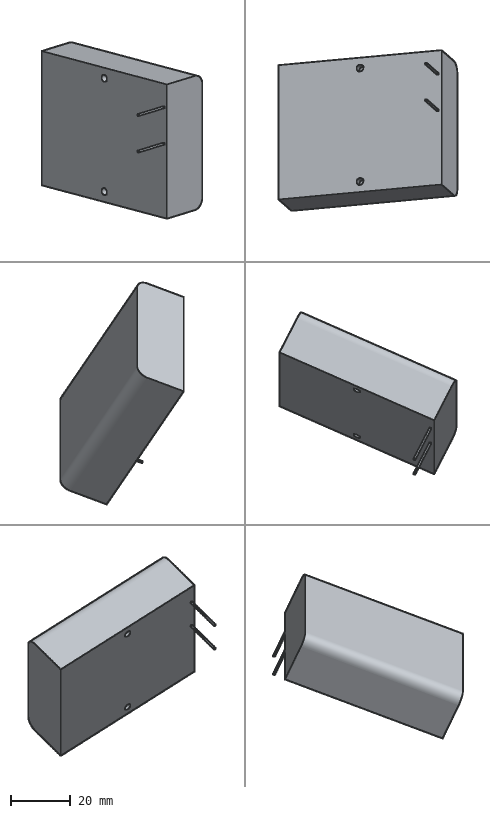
import cadquery as cq

length = 57.15
height = 46.75
depth = 17.4
edge_radius = 3.7

hole_diameter = 2.4
hole_depth = 3.0
hole_spacing = 39.45

pin_diameter = 0.75
pin_length = 12.6
pin_x = length / 2 - 1.4
upper_pin_z = height / 2 - 8.2
pin_spacing = 12.7


def make_block():
    """Block with its two long rear edges rounded."""
    block = cq.Workplane("XY").box(length, depth, height).translate((0, depth / 2, 0))
    return block.edges("|X and >Y").fillet(edge_radius)


def cylinder_along_y(x, z, diameter, y_start, y_end):
    """Round bar between two Y positions."""
    bar = cq.Solid.makeCylinder(
        diameter / 2, y_end - y_start, cq.Vector(x, y_start, z), cq.Vector(0, 1, 0)
    )
    return cq.Workplane(obj=bar)


result = make_block()

for hole_z in (-hole_spacing / 2, hole_spacing / 2):
    result = result.cut(cylinder_along_y(0, hole_z, hole_diameter, 0, hole_depth))

for pin_z in (upper_pin_z, upper_pin_z - pin_spacing):
    result = result.union(cylinder_along_y(pin_x, pin_z, pin_diameter, -pin_length, 0))